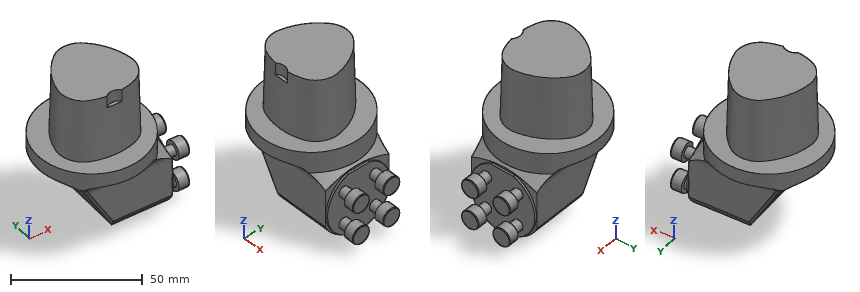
import cadquery as cq
import math

shank_height = 30.0
lobe_reach = 18.75
flank_reach = 16.25
lobe_radius = 11.5
shank_inset = 0.75

notch_radius = 5.0
notch_depth = 5.6
notch_bottom_y = -13.95

flange_radius = 25.0
flange_thickness = 6.5
shoulder_z = -10.2
shoulder_slope = math.radians(40)
head_half_width = 16.3
head_bottom_z = -43.3
head_end_x = 26.0
side_flare_radius = 8.2
belly_radius = 18.0
back_slope = math.radians(60)
back_corner_x = -17.8
back_flare_radius = 12.0
back_toe_radius = 14.0
back_chamfer = 1.1

plate_radius = 16.1
plate_thickness = 1.0
plate_center_z = -27.1
plate_flat_half_width = 5.6
screw_pitch = 15.6
screw_shank_diameter = 5.0
screw_head_diameter = 8.5
screw_head_length = 5.0
screw_shank_length = 5.0
screw_chamfer_length = 0.45
screw_chamfer_depth = 0.2


def polar(radius, angle):
    return (radius * math.cos(angle), radius * math.sin(angle))


def trilobe(z, inset):
    """Closed outline of three lobe arcs and three tangent flank arcs, one lobe toward +Y."""
    lobe_center = lobe_reach - lobe_radius
    reach_difference = flank_reach - lobe_radius
    flank_center = (lobe_center**2 - reach_difference**2) / (2 * reach_difference - lobe_center)
    flank_axis = math.pi / 3
    normal_along = lobe_center + flank_center * math.cos(flank_axis)
    normal_across = flank_center * math.sin(flank_axis)
    normal_angle = math.atan2(normal_across, normal_along)
    seam_along = lobe_center + (lobe_radius - inset) * math.cos(normal_angle)
    seam_across = (lobe_radius - inset) * math.sin(normal_angle)
    seam_radius = math.hypot(seam_along, seam_across)
    seam_angle = math.atan2(seam_across, seam_along)

    first_lobe = math.pi / 2
    outline = cq.Workplane("XY").workplane(offset=z)
    outline = outline.moveTo(*polar(seam_radius, first_lobe - seam_angle))
    for index in range(3):
        lobe = first_lobe + index * 2 * flank_axis
        next_lobe = lobe + 2 * flank_axis
        outline = outline.threePointArc(
            polar(lobe_reach - inset, lobe), polar(seam_radius, lobe + seam_angle)
        )
        outline = outline.threePointArc(
            polar(flank_reach - inset, lobe + flank_axis),
            polar(seam_radius, next_lobe - seam_angle),
        )
    return outline.close().wire().val()


def make_shank():
    base = trilobe(0, 0)
    top = trilobe(shank_height, shank_inset)
    shank = cq.Workplane(cq.Solid.makeLoft([base, top], True))
    notch = (
        cq.Workplane("XY")
        .workplane(offset=shank_height - notch_depth)
        .center(0, notch_bottom_y - notch_radius)
        .circle(notch_radius)
        .extrude(notch_depth)
    )
    return shank.cut(notch)


def back_profile():
    """Side outline of flange and head, extruded across the full flange width."""
    down_slope = (math.cos(back_slope), -math.sin(back_slope))
    tangent_ratio = math.tan(back_slope / 2)
    flare_reach = back_flare_radius * tangent_ratio
    toe_reach = back_toe_radius * tangent_ratio
    slope_run = (-flange_thickness - head_bottom_z) / math.tan(back_slope)
    toe_corner_x = back_corner_x + slope_run

    flare_start = (back_corner_x - flare_reach, -flange_thickness)
    flare_end = (
        back_corner_x + flare_reach * down_slope[0],
        -flange_thickness + flare_reach * down_slope[1],
    )
    toe_start = (
        toe_corner_x - toe_reach * down_slope[0],
        head_bottom_z - toe_reach * down_slope[1],
    )
    toe_end = (toe_corner_x + toe_reach, head_bottom_z)
    return (
        cq.Workplane("XZ")
        .moveTo(-flange_radius, 0)
        .lineTo(-flange_radius, -flange_thickness)
        .lineTo(*flare_start)
        .tangentArcPoint(flare_end, relative=False)
        .lineTo(*toe_start)
        .tangentArcPoint(toe_end, relative=False)
        .lineTo(head_end_x, head_bottom_z)
        .lineTo(head_end_x, 0)
        .close()
        .extrude(flange_radius, both=True)
    )


def side_profile():
    """End outline: flange, flared sides and round belly, extruded along X."""
    flare_bottom_z = -flange_thickness - side_flare_radius
    flare_half_width = head_half_width + side_flare_radius
    belly_center_z = head_bottom_z + belly_radius
    belly_edge_z = belly_center_z - math.sqrt(belly_radius**2 - head_half_width**2)
    diagonal = side_flare_radius * math.sqrt(0.5)
    flare_mid_y = flare_half_width - diagonal
    flare_mid_z = flare_bottom_z + diagonal
    return (
        cq.Workplane("YZ")
        .moveTo(-flange_radius, 0)
        .lineTo(-flange_radius, -flange_thickness)
        .lineTo(-flare_half_width, -flange_thickness)
        .threePointArc((-flare_mid_y, flare_mid_z), (-head_half_width, flare_bottom_z))
        .lineTo(-head_half_width, belly_edge_z)
        .threePointArc((0, head_bottom_z), (head_half_width, belly_edge_z))
        .lineTo(head_half_width, flare_bottom_z)
        .threePointArc((flare_mid_y, flare_mid_z), (flare_half_width, -flange_thickness))
        .lineTo(flange_radius, -flange_thickness)
        .lineTo(flange_radius, 0)
        .close()
        .extrude(2 * head_end_x, both=True)
    )


def round_envelope():
    """Flange cylinder that opens into a downward cone below the shoulder."""
    cone_drop = shoulder_z - head_bottom_z
    cone_radius = flange_radius + cone_drop / math.tan(shoulder_slope)
    return (
        cq.Workplane("XZ")
        .moveTo(0, 0)
        .lineTo(flange_radius, 0)
        .lineTo(flange_radius, shoulder_z)
        .lineTo(cone_radius, head_bottom_z)
        .lineTo(0, head_bottom_z)
        .close()
        .revolve(360, (0, 0, 0), (0, 1, 0))
    )


def make_flange_and_head():
    head = back_profile().intersect(side_profile()).intersect(round_envelope())
    back_edges = cq.selectors.ParallelDirSelector(
        cq.Vector(math.cos(back_slope), 0, -math.sin(back_slope))
    )
    return head.edges(back_edges).chamfer(back_chamfer)


def make_plate():
    flat_rise = math.sqrt(plate_radius**2 - plate_flat_half_width**2)
    return (
        cq.Workplane("YZ")
        .workplane(offset=head_end_x)
        .moveTo(plate_flat_half_width, plate_center_z + flat_rise)
        .threePointArc(
            (0, plate_center_z - plate_radius),
            (-plate_flat_half_width, plate_center_z + flat_rise),
        )
        .close()
        .extrude(plate_thickness)
    )


def make_screws():
    plate_face = (
        cq.Workplane("YZ")
        .workplane(offset=head_end_x + plate_thickness)
        .center(0, plate_center_z)
    )
    shanks = (
        plate_face.rarray(screw_pitch, screw_pitch, 2, 2)
        .circle(screw_shank_diameter / 2)
        .extrude(screw_shank_length)
    )
    heads = (
        plate_face.workplane(offset=screw_shank_length)
        .rarray(screw_pitch, screw_pitch, 2, 2)
        .circle(screw_head_diameter / 2)
        .extrude(screw_head_length)
        .faces(">X")
        .edges()
        .chamfer(screw_chamfer_length, screw_chamfer_depth)
    )
    return shanks.union(heads)


result = make_flange_and_head().union(make_shank()).union(make_plate()).union(make_screws())